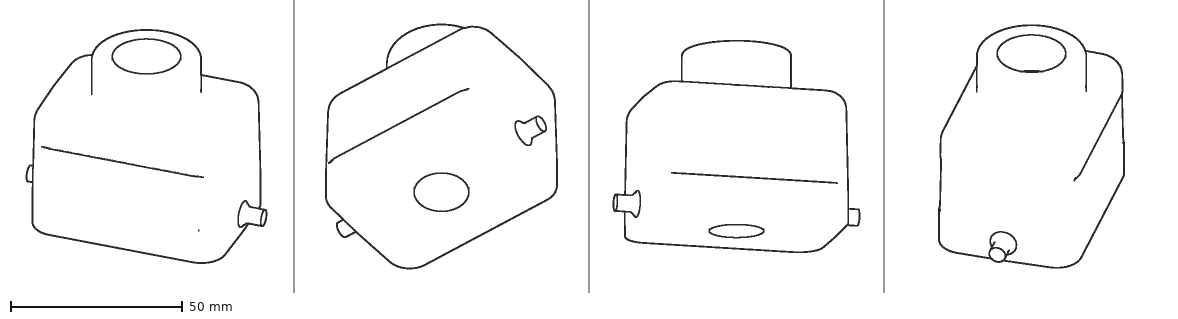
import cadquery as cq
import math

body_width = 43.0
ridge_length = 60.15
body_height = 40.0
skirt_height = 9.9
draft_angle = 1
corner_radius = 7.5
roof_radius = 5.05
rim_radius = 0.5

entry_diameter = 32.0
entry_height = 53.5
entry_edge_radius = 1.0
entry_root_radius = 1.0
entry_seam_angle = 45
bore_diameter = 20.0
bore_depth = 12.4
hole_diameter = 16.0

recess_bottom = 11.0
recess_top = 29.05
recess_depth = 1.0
recess_floor_radius = 0.3
recess_edge_radius = 0.5

pin_span = 73
pin_diameter = 4.9
pin_height = 6.3
pin_root_end = 31.5
pin_root_radius = 0.4
pin_start = 27.75

slope = math.tan(math.radians(draft_angle))
ridge = ridge_length / 2
half_width = body_width / 2


def prism_along_x(points):
    """Prism over the full length of the part with the given (y, z) outline."""
    return cq.Workplane("YZ").polyline(points).close().extrude(pin_span / 2, both=True)


def make_half_body():
    """Back half (y > 0) of the body, whose roof slopes down from the ridge at y = 0."""
    ridge_drop = half_width * slope
    end = ridge - ridge_drop
    outline = [
        (ridge, 0),
        (end, half_width),
        (-end, half_width),
        (-ridge, 0),
        (-end, -half_width),
        (end, -half_width),
    ]
    upper = (
        cq.Workplane("XY")
        .workplane(offset=skirt_height)
        .polyline(outline).close()
        .extrude(body_height - skirt_height, taper=draft_angle)
    )
    corners = [
        edge for edge in upper.edges("not #Z").vals()
        if abs(edge.Center().y) > half_width - corner_radius
    ]
    upper = upper.newObject(corners).fillet(corner_radius)

    skirt = upper.faces("<Z").wires().toPending().workplane().extrude(skirt_height, combine=False)
    skirt = skirt.faces("<Z").edges().fillet(rim_radius)
    skirt = skirt.intersect(prism_along_x([
        (0, 0),
        (half_width, 0),
        (half_width, skirt_height),
        (0, skirt_height),
    ]))

    upper = upper.intersect(prism_along_x([
        (0, skirt_height),
        (half_width, skirt_height),
        (half_width, body_height - ridge_drop),
        (0, body_height),
    ]))
    upper = upper.faces(">>Z").edges("not (|X and <Y)").fillet(roof_radius)
    return upper.union(skirt)


def recess_floor(z):
    """Distance of the recess floor from the middle plane; it follows the drafted wall."""
    return half_width - (z - skirt_height) * slope - recess_depth


def cut_recess(half):
    """Flat recess that runs out into the rounded corners of the body."""
    cutter = prism_along_x([
        (body_width, recess_bottom),
        (recess_floor(recess_bottom), recess_bottom),
        (recess_floor(recess_top), recess_top),
        (body_width, recess_top),
    ])
    floor_edges = [edge for edge in cutter.edges("|X").vals() if edge.Center().y < half_width]
    cutter = cutter.newObject(floor_edges).fillet(recess_floor_radius)
    recessed = half.cut(cutter)
    recess_height = recess_top - recess_bottom
    run_outs = [
        edge for edge in recessed.edges("%LINE").vals()
        if recess_bottom < edge.BoundingBox().zmin
        and edge.BoundingBox().zmax < recess_top
        and edge.BoundingBox().zlen > recess_height / 2
    ]
    return recessed.newObject(run_outs).fillet(recess_edge_radius)


def add_entry(body):
    """Cylindrical cable entry blended into the roof."""
    radius = entry_diameter / 2
    entry = (
        cq.Workplane("XY")
        .workplane(offset=skirt_height)
        .circle(radius)
        .extrude(entry_height - skirt_height)
        .faces(">Z").edges().fillet(entry_edge_radius)
        .rotate((0, 0, 0), (0, 0, 1), entry_seam_angle)
    )
    joined = body.union(entry)
    root = [
        edge for edge in joined.edges("not %LINE").vals()
        if abs(edge.Center().z - body_height) < 0.7
        and abs(math.hypot(edge.startPoint().x, edge.startPoint().y) - radius) < 0.1
    ]
    return joined.newObject(root).fillet(entry_root_radius)


def make_pin():
    """Pin on the +X end wall with a 45 degree conical root."""
    radius = pin_diameter / 2
    profile = [
        (pin_start, 0),
        (pin_start, radius + pin_root_end - pin_start),
        (pin_root_end, radius),
        (pin_span / 2, radius),
        (pin_span / 2, 0),
    ]
    return (
        cq.Workplane("XZ").polyline(profile).close()
        .revolve(360, (0, 0), (1, 0))
        .edges("%CIRCLE").edges(cq.selectors.NearestToPointSelector((pin_root_end, 0, 0)))
        .fillet(pin_root_radius)
        .translate((0, 0, pin_height))
    )


half = cut_recess(make_half_body())
body = add_entry(half.union(half.mirror("XZ")))

pin = make_pin()
bore = cq.Workplane("XY").workplane(offset=entry_height).circle(bore_diameter / 2).extrude(-bore_depth)
hole = cq.Workplane("XY").circle(hole_diameter / 2).extrude(entry_height)
result = (
    body
    .union(pin, clean=False)
    .union(pin.mirror("YZ"), clean=False)
    .cut(bore, clean=False)
    .cut(hole, clean=False)
)